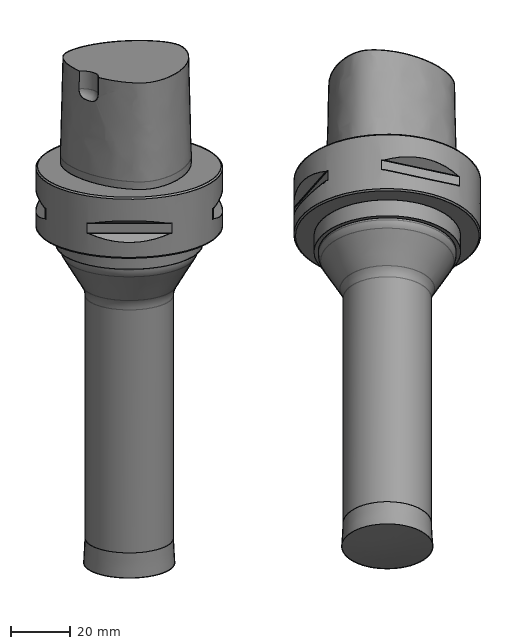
import cadquery as cq
import math

total_length = 181.0

tip_height = 1.0
head_top = 10.0
shank_top = 97.0
collar_bottom = 115.1
flange_bottom = 121.3
flange_top = 143.2
taper_bottom = 145.9

shank_diameter = 29.9
head_diameter = 30.8
cone_diameter = 46.5
collar_diameter = 49.5
flange_diameter = 63.0
edge_chamfer = 0.5

shoulder_top = 114.4
shoulder_radius = 5.5
cone_angle = math.radians(31)

lobe_eccentricity = 1.6
coupling_base_width = 44.2
taper_ratio = 1 / 20
profile_points = 72

groove_count = 4
groove_start_angle = 45
groove_depth = 3.5
groove_floor_width = 3.6
groove_step_depth = 0.4
groove_mouth_width = 7.8
groove_height = 131.0
groove_overshoot = 1.8

keyway_radius = 5.5
keyway_axis_offset = 22.5
keyway_depth = 6.3
keyway_floor_radius = 2.9


def lobed_point(width, angle):
    """Point on a three-lobed curve of constant width, with one lobe on +Y."""
    support = width / 2 + lobe_eccentricity * math.cos(3 * angle)
    slope = -3 * lobe_eccentricity * math.sin(3 * angle)
    along_lobe = support * math.cos(angle) - slope * math.sin(angle)
    across_lobe = support * math.sin(angle) + slope * math.cos(angle)
    return (across_lobe, along_lobe)


def lobed_wire(width, height):
    step = 2 * math.pi / profile_points
    points = [lobed_point(width, i * step) for i in range(profile_points)]
    return cq.Workplane("XY", origin=(0, 0, height)).spline(points, periodic=True).close().val()


def make_turned_body():
    """Shank, flared transition, collar and flange, revolved about Z."""
    flange_radius = flange_diameter / 2
    shank_radius = shank_diameter / 2
    cone_radius = cone_diameter / 2

    rise = shoulder_top - shank_top
    spread = cone_radius - shank_radius
    cone_offset = rise * math.sin(cone_angle) - spread * math.cos(cone_angle)
    arc_radius_sum = cone_offset / (1 - math.cos(cone_angle))
    neck_radius = arc_radius_sum - shoulder_radius

    def neck_point(angle):
        return (shank_radius + neck_radius * (1 - math.cos(angle)), shank_top + neck_radius * math.sin(angle))

    def shoulder_point(angle):
        return (
            cone_radius - shoulder_radius * (1 - math.cos(angle)),
            shoulder_top - shoulder_radius * math.sin(angle),
        )

    profile = (
        cq.Workplane("XZ")
        .moveTo(0, head_top)
        .lineTo(shank_radius, head_top)
        .lineTo(shank_radius, shank_top)
        .threePointArc(neck_point(cone_angle / 2), neck_point(cone_angle))
        .lineTo(*shoulder_point(cone_angle))
        .threePointArc(shoulder_point(cone_angle / 2), (cone_radius, shoulder_top))
        .lineTo(cone_radius, collar_bottom)
        .lineTo(collar_diameter / 2, collar_bottom)
        .lineTo(collar_diameter / 2, flange_bottom)
        .lineTo(flange_radius - edge_chamfer, flange_bottom)
        .lineTo(flange_radius, flange_bottom + edge_chamfer)
        .lineTo(flange_radius, flange_top - edge_chamfer)
        .lineTo(flange_radius - edge_chamfer, flange_top)
        .lineTo(0, flange_top)
        .close()
    )
    return profile.revolve(360, (0, 0, 0), (0, 1, 0))


def make_coupling():
    """Straight lobed base below a lobed taper."""
    base_wire = lobed_wire(coupling_base_width, flange_top)
    base = cq.Solid.extrudeLinear(base_wire, [], cq.Vector(0, 0, taper_bottom - flange_top))
    top_width = coupling_base_width - taper_ratio * (total_length - taper_bottom)
    taper = cq.Solid.makeLoft([
        lobed_wire(coupling_base_width, taper_bottom),
        lobed_wire(top_width, total_length),
    ])
    return cq.Workplane(base).union(cq.Workplane(taper))


def make_groove_cutter():
    """Straight groove with a flat stepped floor and sloping walls, across the +X side of the flange."""
    floor_x = flange_diameter / 2 - groove_depth
    step_x = floor_x + groove_step_depth
    mouth_x = flange_diameter / 2 + groove_overshoot
    floor_half = groove_floor_width / 2
    wall_slope = (groove_mouth_width / 2 - floor_half) / (groove_depth - groove_step_depth)
    mouth_half = floor_half + (mouth_x - step_x) * wall_slope
    return (
        cq.Workplane("XZ")
        .polyline([
            (floor_x, groove_height - floor_half),
            (step_x, groove_height - floor_half),
            (mouth_x, groove_height - mouth_half),
            (mouth_x, groove_height + mouth_half),
            (step_x, groove_height + floor_half),
            (floor_x, groove_height + floor_half),
        ])
        .close()
        .extrude(flange_diameter / 2, both=True)
    )


def make_keyway_cutter():
    """Vertical round cutter with a rounded floor edge, set into the -Y side."""
    height = keyway_depth + keyway_floor_radius
    return (
        cq.Workplane("XY", origin=(0, -keyway_axis_offset, total_length - height))
        .circle(keyway_radius)
        .extrude(height)
        .faces("<Z")
        .edges()
        .fillet(keyway_floor_radius)
    )


def make_holder():
    holder = make_turned_body().union(make_coupling())
    for i in range(groove_count):
        angle = groove_start_angle + i * 360 / groove_count
        holder = holder.cut(make_groove_cutter().rotate((0, 0, 0), (0, 0, 1), angle))
    return holder.cut(make_keyway_cutter())


def make_cutting_head():
    """Slightly flared head with a shallow domed end."""
    head_radius = head_diameter / 2
    dome_radius = (head_radius**2 + tip_height**2) / (2 * tip_height)
    dome_half_angle = math.asin(head_radius / dome_radius) / 2
    dome_middle = (
        dome_radius * math.sin(dome_half_angle),
        dome_radius * (1 - math.cos(dome_half_angle)),
    )
    return (
        cq.Workplane("XZ")
        .moveTo(0, 0)
        .threePointArc(dome_middle, (head_radius, tip_height))
        .lineTo(shank_diameter / 2, head_top)
        .lineTo(0, head_top)
        .close()
        .revolve(360, (0, 0, 0), (0, 1, 0))
    )


holder = make_holder()
cutting_head = make_cutting_head()

result = cq.Compound.makeCompound([holder.val(), cutting_head.val()])